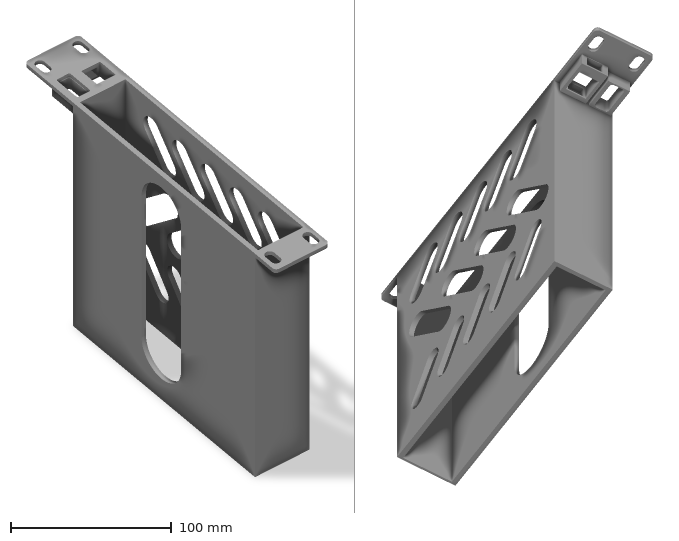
import cadquery as cq
import math


plate_length = 254
plate_thickness = 3.0
plate_corner_radius = 3.0

sleeve_left = 49.0
sleeve_width = 184.5
sleeve_depth = 43.0
sleeve_height = 183
left_wall = 2.8
right_wall = 1.5
front_back_wall = 3.5

mount_slot_length = 13.0
mount_slot_width = 6.9
mount_slot_left_x = 10.5
mount_slot_right_x = 243.0
mount_slot_front_y = 6.5
mount_slot_back_y = 36.5

window_width = 40.1
window_height = 156.2
window_center_x = 138.7
window_top_gap = 9.7

socket_drop = 12.2
socket_right = 47.8

long_socket_left = 25.0
long_socket_y = (2.3, 18.3)
long_hole_x = (25.7, 47.0)
long_hole_y = (5.0, 15.7)
long_hole_radius = 1.3
long_socket_radius = 2.0
long_hole_ledge = 0.3

square_socket_left = 21.8
square_socket_y = (20.5, 39.5)
square_hole_x = (28.7, 44.5)
square_hole_y = (22.5, 37.3)
latch_y = (24.5, 35.8)
latch_top = 3.5
latch_bottom = 11.0

slot_rows = [
    dict(count=5, pitch=29.0, first_x=78.0, left_depth=22.4, run=16.8, rise=-19.8, radius=8.1),
    dict(count=4, pitch=38.0, first_x=64.8, left_depth=102.4, run=31.2, rise=28.0, radius=9.0),
    dict(count=5, pitch=30.2, first_x=71.0, left_depth=127.8, run=17.3, rise=-22.4, radius=7.0),
]


def block(x_range, y_range, top_depth, bottom_depth):
    """Upright box between two X values, two Y values and two depths below the top."""
    return cq.Workplane("XY").box(
        x_range[1] - x_range[0],
        y_range[1] - y_range[0],
        bottom_depth - top_depth,
        centered=False,
    ).translate((x_range[0], y_range[0], -bottom_depth))


def wall_slot(center_x, center_depth, length, width, angle, near_y, thickness):
    """Round-ended cutter through a wall that faces along Y."""
    return (
        cq.Workplane("XZ", origin=(center_x, near_y, -center_depth))
        .slot2D(length, width, angle)
        .extrude(-thickness)
    )


def make_faceplate():
    plate = block((0, plate_length), (0, sleeve_depth), 0, plate_thickness)
    plate = plate.edges("|Z").fillet(plate_corner_radius)
    mount_slot_points = [
        (x, y)
        for x in (mount_slot_left_x, mount_slot_right_x)
        for y in (mount_slot_front_y, mount_slot_back_y)
    ]
    mount_slots = (
        cq.Workplane("XY")
        .pushPoints(mount_slot_points)
        .slot2D(mount_slot_length, mount_slot_width)
        .extrude(-plate_thickness)
    )
    return plate.cut(mount_slots)


def make_cavity():
    return block(
        (sleeve_left + left_wall, sleeve_left + sleeve_width - right_wall),
        (front_back_wall, sleeve_depth - front_back_wall),
        0,
        sleeve_height,
    )


def make_window():
    upright = 90
    center_depth = window_top_gap + window_height / 2
    return wall_slot(window_center_x, center_depth, window_height, window_width, upright, 0, front_back_wall)


def make_slot_row(count, pitch, first_x, left_depth, run, rise, radius):
    length = math.hypot(run, rise) + 2 * radius
    angle = math.degrees(math.atan2(rise, run))
    row = cq.Workplane("XY")
    for index in range(count):
        center_x = first_x + index * pitch + run / 2
        row = row.add(
            wall_slot(
                center_x,
                left_depth - rise / 2,
                length,
                2 * radius,
                angle,
                sleeve_depth - front_back_wall,
                front_back_wall,
            )
        )
    return row.combine()


def make_long_hole():
    plate_opening = block(long_hole_x, long_hole_y, 0, plate_thickness)
    socket_opening = block(
        (long_hole_x[0] + long_hole_ledge, long_hole_x[1] - long_hole_ledge),
        (long_hole_y[0] + long_hole_ledge, long_hole_y[1] - long_hole_ledge),
        plate_thickness,
        socket_drop,
    )
    plate_opening = plate_opening.edges("|Z").fillet(long_hole_radius)
    return plate_opening.union(socket_opening.edges("|Z").fillet(long_socket_radius))


sleeve = block((sleeve_left, sleeve_left + sleeve_width), (0, sleeve_depth), 0, sleeve_height)
long_socket = block((long_socket_left, socket_right), long_socket_y, 0, socket_drop)
square_socket = block((square_socket_left, socket_right), square_socket_y, 0, socket_drop)

long_hole = make_long_hole()
square_hole = block(square_hole_x, square_hole_y, 0, socket_drop)
latch_opening = block((square_socket_left, socket_right), latch_y, latch_top, latch_bottom)

result = make_faceplate().union(sleeve).union(square_socket).union(long_socket)
result = result.cut(make_cavity()).cut(make_window())
for slot_row in slot_rows:
    result = result.cut(make_slot_row(**slot_row))
result = result.cut(long_hole).cut(square_hole).cut(latch_opening)